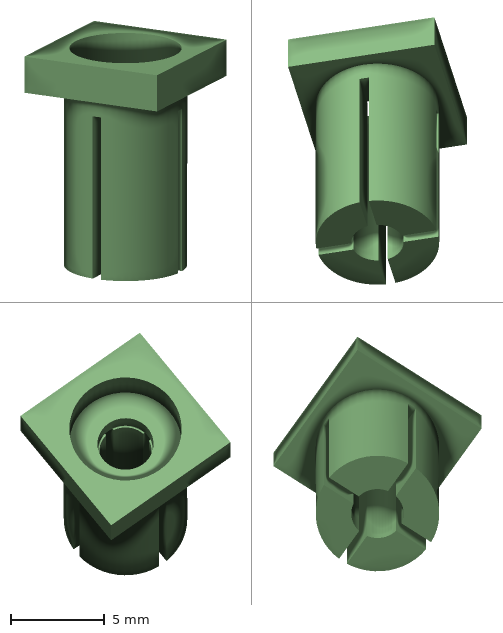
import cadquery as cq

total_height = 12
head_side = 8.0
head_height = 2.0

shank_diameter = 6.6
recess_diameter = 6
recess_depth = head_height
bore_diameter = 3
grip_diameter = 2.8

slot_width = 0.5
slot_height = 9

shank_height = total_height - head_height


def cylinder(diameter, bottom, top):
    """Vertical cylinder on the part axis between two heights."""
    return cq.Workplane("XY").workplane(offset=bottom).circle(diameter / 2).extrude(top - bottom)


head = cq.Workplane("XY").workplane(offset=shank_height).rect(head_side, head_side).extrude(head_height)
body = head.union(cylinder(shank_diameter, 0, shank_height))

body = body.cut(cylinder(recess_diameter, total_height - recess_depth, total_height))
body = body.cut(cylinder(bore_diameter, slot_height, total_height))
body = body.cut(cylinder(grip_diameter, 0, slot_height))

for slot_size in ((slot_width, shank_diameter), (shank_diameter, slot_width)):
    body = body.cut(cq.Workplane("XY").rect(*slot_size).extrude(slot_height))

result = body